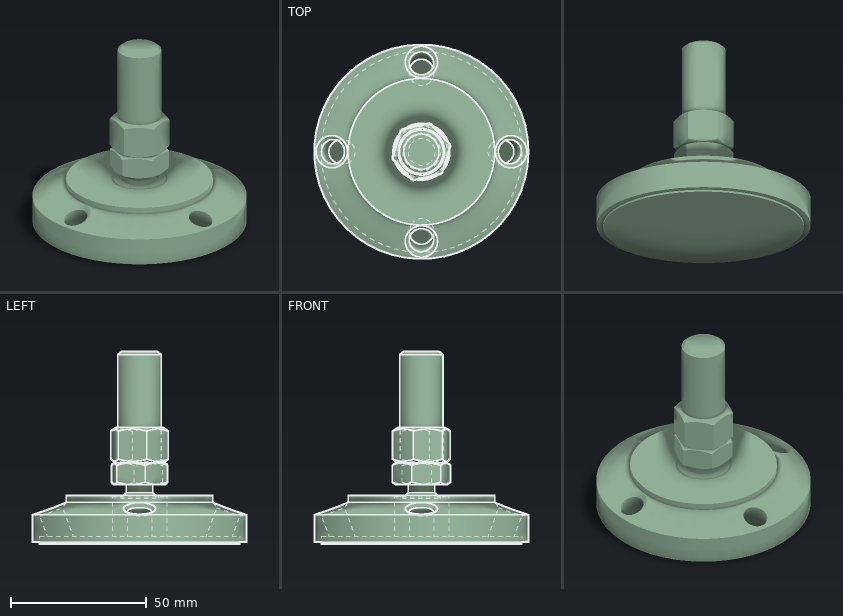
import cadquery as cq
import math

plate_bottom_z = 0.8
pad_top_z = 3.0
plate_edge_z = 10.8
cone_top_z = 15.4
plate_top_z = 17.9
flare_top_z = 18.95
stud_hex_bottom_z = 22.0
nut_bottom_z = 29.95
nut_top_z = 43.0
stud_top_z = 71.0

plate_diameter = 79.0
rim_diameter = 54.0
pad_diameter = 74.0
insert_diameter = 20.0
bore_mouth_diameter = 21.0
bore_chamfer = (bore_mouth_diameter - insert_diameter) / 2
socket_diameter = 13.8

hole_count = 4
hole_diameter = 9.0
countersink_diameter = 12.3
countersink_depth = 1.35
hole_circle_radius = 33.0

neck_diameter = 9.9
shaft_diameter = 16.0
shaft_tip_diameter = 12.95
shaft_tip_height = 1.2
hex_across_flats = 19.0
stud_hex_face_diameter = 18.95
stud_hex_angle = 11.0
nut_face_diameter = 17.2
nut_angle = 14.5
hex_chamfer_angle = 30.0

socket_floor_z = flare_top_z - (socket_diameter - neck_diameter) / 2


def cylinder(diameter, bottom_z, top_z):
    return cq.Workplane("XY").workplane(offset=bottom_z).circle(diameter / 2).extrude(top_z - bottom_z)


def revolved(profile):
    """Revolve a closed outline of (radius, z) points about the Z axis."""
    return cq.Workplane("XZ").polyline(profile).close().revolve(360, (0, 0), (0, 1))


def chamfered_hex(bottom_z, top_z, face_diameter, angle):
    """Hexagonal prism whose corners are cut back by a cone at both ends."""
    corner_radius = hex_across_flats / math.sqrt(3)
    face_radius = face_diameter / 2
    drop = (corner_radius - face_radius) * math.tan(math.radians(hex_chamfer_angle))
    prism = (
        cq.Workplane("XY")
        .workplane(offset=bottom_z)
        .polygon(6, 2 * corner_radius)
        .extrude(top_z - bottom_z)
        .rotate((0, 0, 0), (0, 0, 1), angle)
    )
    envelope = revolved([
        (0, bottom_z),
        (face_radius, bottom_z),
        (corner_radius, bottom_z + drop),
        (corner_radius, top_z - drop),
        (face_radius, top_z),
        (0, top_z),
    ])
    return prism.intersect(envelope)


def fixing_hole_cutter():
    """Countersunk hole on the +X side, tilted square to the cone and ending at the pad."""
    plate_radius = plate_diameter / 2
    slope = (cone_top_z - plate_edge_z) / (plate_radius - rim_diameter / 2)
    tilt = math.degrees(math.atan(slope))
    mouth_z = plate_edge_z + slope * (plate_radius - hole_circle_radius)
    mouth_radius = countersink_diameter / 2
    hole_radius = hole_diameter / 2
    flank = (mouth_radius - hole_radius) / countersink_depth
    clearance = 0.1
    hole_length = plate_top_z
    cutter = revolved([
        (0, -hole_length),
        (hole_radius, -hole_length),
        (hole_radius, -countersink_depth),
        (mouth_radius + flank * clearance, clearance),
        (0, clearance),
    ])
    cutter = cutter.rotate((0, 0, 0), (0, 1, 0), tilt).translate((hole_circle_radius, 0, mouth_z))
    return cutter.cut(cylinder(2 * plate_diameter, -plate_top_z, plate_bottom_z))


def make_plate():
    plate = revolved([
        (0, plate_bottom_z),
        (plate_diameter / 2, plate_bottom_z),
        (plate_diameter / 2, plate_edge_z),
        (rim_diameter / 2, cone_top_z),
        (rim_diameter / 2, plate_top_z),
        (0, plate_top_z),
    ])
    hole = fixing_hole_cutter()
    for index in range(hole_count):
        plate = plate.cut(hole.rotate((0, 0, 0), (0, 0, 1), index * 360 / hole_count))
    plate = plate.cut(cylinder(pad_diameter, plate_bottom_z, pad_top_z))
    plate = plate.cut(cylinder(insert_diameter, pad_top_z, plate_top_z))
    bore_mouth = revolved([
        (0, plate_top_z - bore_chamfer),
        (insert_diameter / 2, plate_top_z - bore_chamfer),
        (bore_mouth_diameter / 2, plate_top_z),
        (0, plate_top_z),
    ])
    return plate.cut(bore_mouth)


def make_pad():
    return cylinder(pad_diameter, 0, pad_top_z)


def make_insert():
    """Plug in the plate's bore, chamfered to match its mouth, with a shallow socket for the stud's foot."""
    plug = cylinder(insert_diameter, pad_top_z, plate_top_z).faces(">Z").chamfer(bore_chamfer)
    return plug.cut(cylinder(socket_diameter, socket_floor_z, plate_top_z))


def make_stud():
    lower_stud = revolved([
        (0, socket_floor_z),
        (socket_diameter / 2, socket_floor_z),
        (neck_diameter / 2, flare_top_z),
        (neck_diameter / 2, stud_hex_bottom_z),
        (0, stud_hex_bottom_z),
    ])
    stud_hex = chamfered_hex(stud_hex_bottom_z, nut_bottom_z, stud_hex_face_diameter, stud_hex_angle)
    shaft = revolved([
        (0, nut_bottom_z),
        (shaft_diameter / 2, nut_bottom_z),
        (shaft_diameter / 2, stud_top_z - shaft_tip_height),
        (shaft_tip_diameter / 2, stud_top_z),
        (0, stud_top_z),
    ])
    return lower_stud.union(stud_hex).union(shaft)


def make_nut():
    nut = chamfered_hex(nut_bottom_z, nut_top_z, nut_face_diameter, nut_angle)
    return nut.cut(cylinder(shaft_diameter, nut_bottom_z, nut_top_z))


plate = make_plate()
pad = make_pad()
insert = make_insert()
stud = make_stud()
nut = make_nut()

result = cq.Compound.makeCompound([plate.val(), pad.val(), insert.val(), stud.val(), nut.val()])